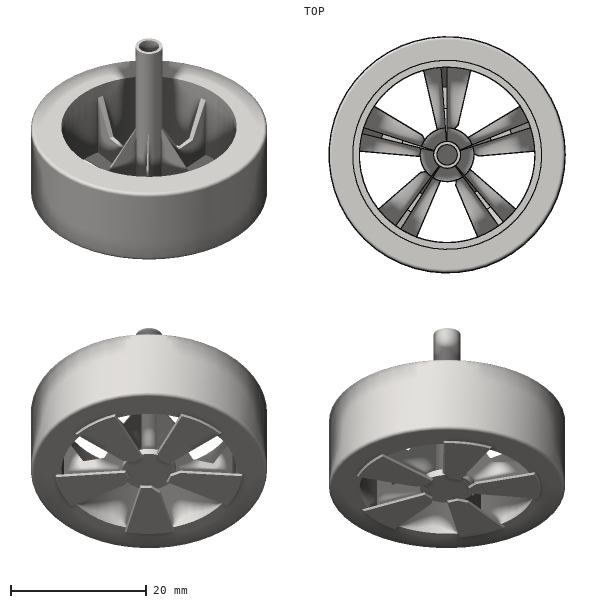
import cadquery as cq
import math

tyre_radius = 17.5
rim_radius = 14.0
rim_bore_radius = 13.0
wheel_width = 12.0
tyre_fillet = 0.5

total_height = 26.8
axle_radius = 2.0
axle_bore_radius = 1.5
hub_disc_radius = 4.0
hub_disc_thickness = 1.0

spoke_count = 5
spoke_thickness = 0.28
spoke_side_taper = 35.0
spoke_axis_half_width = 0.63
spoke_side_slope = 0.23
spoke_inner_radius = 3.15
spoke_outer_radius = 13.9
spoke_corner_radius = 4.38

fin_inner_thickness = 0.1
fin_outer_thickness = 0.9
fin_flat_inner_radius = 6.85
fin_flat_outer_radius = 10.0
fin_flat_height = 4.5
fin_rim_height = 10.2

wheel_bottom = spoke_thickness
wheel_top = wheel_bottom + wheel_width
hub_disc_top = wheel_bottom + hub_disc_thickness
fin_axle_height = wheel_top
axle_wall_middle = (axle_radius + axle_bore_radius) / 2
rim_wall_middle = (rim_radius + rim_bore_radius) / 2


def cylinder(radius, bottom, top):
    return cq.Workplane("XY").workplane(offset=bottom).circle(radius).extrude(top - bottom)


def make_tyre():
    blank = cylinder(tyre_radius, wheel_bottom, wheel_top).edges().fillet(tyre_fillet)
    return blank.cut(cylinder(rim_radius, wheel_bottom, wheel_top))


def make_rim():
    return cylinder(rim_radius, wheel_bottom, wheel_top).cut(
        cylinder(rim_bore_radius, wheel_bottom, wheel_top)
    )


def make_axle():
    """Tube on the hub disc; the bore ends at the top of the disc."""
    disc = cylinder(hub_disc_radius, wheel_bottom, hub_disc_top)
    tube = cylinder(axle_radius, wheel_bottom, total_height)
    return disc.union(tube).cut(cylinder(axle_bore_radius, hub_disc_top, total_height))


def spoke_half_width(radius):
    return spoke_axis_half_width + spoke_side_slope * radius


def make_spoke():
    """Spoke along +Y, widening to an end arc under the rim, with sides sloping in towards the bottom."""
    corner_half_width = spoke_half_width(spoke_corner_radius)
    corner_cut = spoke_corner_radius - spoke_inner_radius
    slope_square = 1 + spoke_side_slope**2
    axis_term = spoke_axis_half_width * spoke_side_slope
    circle_term = spoke_outer_radius**2 - spoke_axis_half_width**2
    end_radius = (math.sqrt(axis_term**2 + slope_square * circle_term) - axis_term) / slope_square
    end_half_width = spoke_half_width(end_radius)
    return (
        cq.Workplane("XY")
        .workplane(offset=spoke_thickness)
        .moveTo(-spoke_half_width(spoke_inner_radius), spoke_inner_radius)
        .lineTo(corner_half_width - corner_cut, spoke_inner_radius)
        .lineTo(corner_half_width, spoke_corner_radius)
        .lineTo(end_half_width, end_radius)
        .threePointArc((0, spoke_outer_radius), (-end_half_width, end_radius))
        .close()
        .extrude(-spoke_thickness, taper=spoke_side_taper)
    )


def make_fin():
    """Fin along +Y with one face on the axial plane and a V-shaped dip in its top edge."""
    profile = (
        cq.Workplane("YZ")
        .polyline([
            (axle_wall_middle, wheel_bottom),
            (rim_wall_middle, wheel_bottom),
            (rim_wall_middle, fin_rim_height),
            (rim_bore_radius, fin_rim_height),
            (fin_flat_outer_radius, fin_flat_height),
            (fin_flat_inner_radius, fin_flat_height),
            (axle_radius, fin_axle_height),
            (axle_wall_middle, fin_axle_height),
        ])
        .close()
        .extrude(-fin_outer_thickness)
    )
    wedge = (
        cq.Workplane("XY")
        .polyline([
            (0, axle_wall_middle),
            (0, rim_wall_middle),
            (-fin_outer_thickness, rim_wall_middle),
            (-fin_outer_thickness, rim_bore_radius),
            (-fin_inner_thickness, axle_radius),
            (-fin_inner_thickness, axle_wall_middle),
        ])
        .close()
        .extrude(wheel_top)
    )
    return profile.intersect(wedge)


def make_wheel():
    wheel = make_rim().union(make_axle())
    spoke = make_spoke()
    fin = make_fin()
    for i in range(spoke_count):
        angle = i * 360 / spoke_count
        for piece in (spoke, fin):
            wheel = wheel.union(piece.rotate((0, 0, 0), (0, 0, 1), angle))
    return wheel


tyre = make_tyre()
wheel = make_wheel()
result = cq.Compound.makeCompound([tyre.val(), wheel.val()])